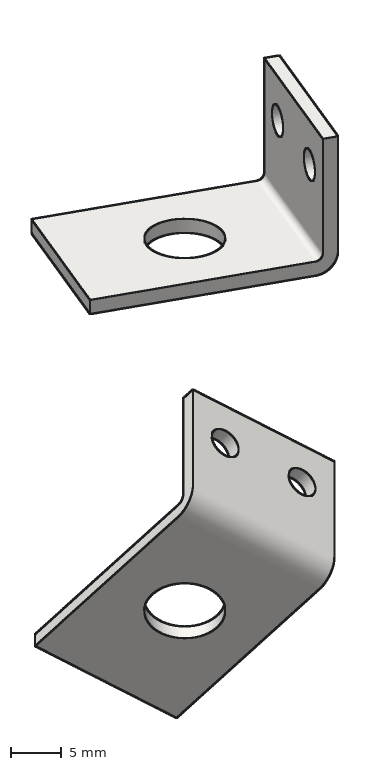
import cadquery as cq

width = 17.5
length = 26.0
height = 15.35

thickness = 1.6
inner_radius = 0.78
outer_radius = inner_radius + thickness

base_hole_diameter = 8.0
flange_hole_diameter = 3.3
flange_hole_spacing = 9.5
flange_hole_drop = 5.0

front_y = -length / 2
back_y = length / 2
bracket = (
    cq.Workplane("YZ")
    .moveTo(front_y, 0)
    .lineTo(back_y - outer_radius, 0)
    .radiusArc((back_y, outer_radius), -outer_radius)
    .lineTo(back_y, height)
    .lineTo(back_y - thickness, height)
    .lineTo(back_y - thickness, outer_radius)
    .radiusArc((back_y - outer_radius, thickness), inner_radius)
    .lineTo(front_y, thickness)
    .close()
    .extrude(width / 2, both=True)
)

base_hole = cq.Workplane("XY").circle(base_hole_diameter / 2).extrude(thickness)

flange_holes = (
    cq.Workplane("XZ", origin=(0, back_y, height - flange_hole_drop))
    .rarray(flange_hole_spacing, 0.25, 2, 1)
    .circle(flange_hole_diameter / 2)
    .extrude(thickness)
)

result = bracket.cut(base_hole).cut(flange_holes)